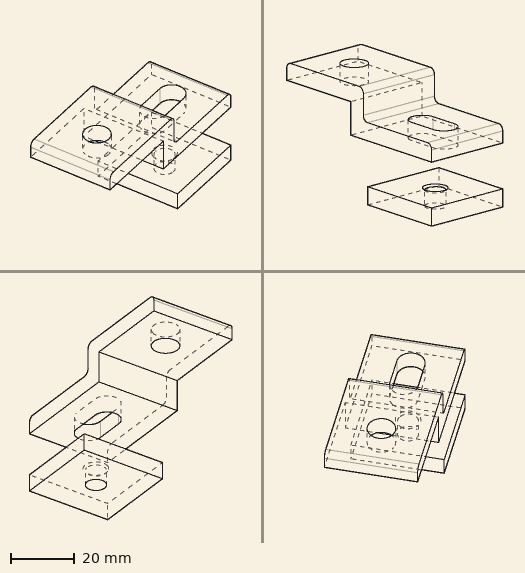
import cadquery as cq

width = 30.0
thickness = 6.0
total_length = 68.0
total_height = 38.0

upper_arm_reach = 30.0
bracket_bottom = 21.0
edge_radius = 2.0
lower_arm_top = bracket_bottom + thickness
upper_arm_bottom = total_height - thickness
web_back = upper_arm_reach + thickness

bolt_diameter = 9.0
bolt_y = upper_arm_reach / 2
slot_length = 19.0
slot_from_back = 16.0
slot_y = total_length - slot_from_back

plate_length = width
plate_y = total_length - plate_length / 2
tapping_diameter = 6.65
countersink_diameter = 8.0
countersink_angle = 90


def make_bracket():
    """Z-shaped clamp with a slot in the lower arm and a bolt hole in the upper arm."""
    profile = [
        (0, upper_arm_bottom),
        (upper_arm_reach, upper_arm_bottom),
        (upper_arm_reach, bracket_bottom),
        (total_length, bracket_bottom),
        (total_length, lower_arm_top),
        (web_back, lower_arm_top),
        (web_back, total_height),
        (0, total_height),
    ]
    body = cq.Workplane("YZ").polyline(profile).close().extrude(width / 2, both=True)

    rounded_edges = [
        (0, total_height),
        (web_back, total_height),
        (web_back, lower_arm_top),
        (total_length, lower_arm_top),
    ]
    for y, z in rounded_edges:
        body = body.edges(cq.selectors.NearestToPointSelector((0, y, z))).fillet(edge_radius)

    bolt_hole = (
        cq.Workplane("XY", origin=(0, bolt_y, upper_arm_bottom))
        .circle(bolt_diameter / 2)
        .extrude(thickness)
    )
    slot = (
        cq.Workplane("XY", origin=(0, slot_y, bracket_bottom))
        .slot2D(slot_length, bolt_diameter, 90)
        .extrude(thickness)
    )
    return body.cut(bolt_hole).cut(slot)


def make_nut_plate():
    """Square plate with a central countersunk tapping hole."""
    return (
        cq.Workplane("XY", origin=(0, plate_y, 0))
        .box(width, plate_length, thickness, centered=(True, True, False))
        .faces(">Z")
        .workplane(centerOption="CenterOfBoundBox")
        .cskHole(tapping_diameter, countersink_diameter, countersink_angle)
    )


bracket = make_bracket()
nut_plate = make_nut_plate()

result = cq.Compound.makeCompound([bracket.solids().val(), nut_plate.solids().val()])